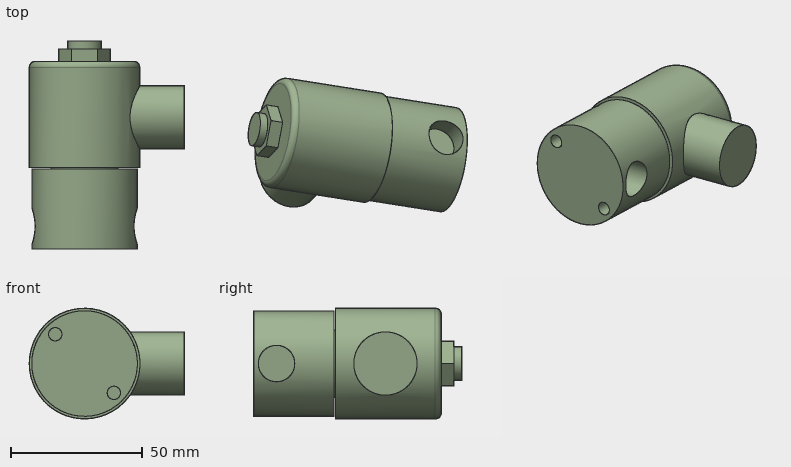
import cadquery as cq
import math

OVERALL_LENGTH = 78.9

BASE_DIAMETER = 40.0
BASE_LENGTH = 30.5
NECK_DIAMETER = 25.6
NECK_LENGTH = 0.5

PORT_DIAMETER = 13.8
PORT_CENTER_Y = 8.7
PORT_DEPTH = 9.5

MOUNT_HOLE_DIAMETER = 5.05
MOUNT_HOLE_DEPTH = 9.5
MOUNT_CIRCLE_RADIUS = 15.7
MOUNT_HOLE_ANGLES = (135, 315)

HOUSING_DIAMETER = 42.0
HOUSING_START_Y = BASE_LENGTH + NECK_LENGTH
HOUSING_LENGTH = 40.25
HOUSING_END_Y = HOUSING_START_Y + HOUSING_LENGTH
HOUSING_EDGE_RADIUS = 2.4

TUBE_DIAMETER = 24.0
TUBE_CENTER_Y = 50.0
TUBE_END_X = 37.8

NUT_ACROSS_FLATS = 17.0
NUT_ACROSS_CORNERS = NUT_ACROSS_FLATS / math.cos(math.radians(30))
NUT_HEIGHT = 4.7
STUD_DIAMETER = 12.8
STUD_START_Y = HOUSING_END_Y + NUT_HEIGHT
STUD_LENGTH = OVERALL_LENGTH - STUD_START_Y


def axial_plane(y):
    """Plane facing +Y at distance y along the main axis, with global Z as its local y."""
    return cq.Workplane(cq.Plane(origin=(0, y, 0), xDir=(-1, 0, 0), normal=(0, 1, 0)))


def axial_cylinder(diameter, start_y, length):
    return axial_plane(start_y).circle(diameter / 2).extrude(length)


def side_cylinder(diameter, center_y, start_x, end_x):
    """Cylinder along X whose axis crosses the main axis at center_y."""
    plane = cq.Workplane("YZ", origin=(start_x, 0, 0))
    return plane.center(center_y, 0).circle(diameter / 2).extrude(end_x - start_x)


def make_valve_base():
    base = axial_cylinder(BASE_DIAMETER, 0, BASE_LENGTH)
    base = base.union(axial_cylinder(NECK_DIAMETER, BASE_LENGTH, NECK_LENGTH))

    port_floor_x = BASE_DIAMETER / 2 - PORT_DEPTH
    for side in (-1, 1):
        port = side_cylinder(PORT_DIAMETER, PORT_CENTER_Y, side * port_floor_x, side * BASE_DIAMETER / 2)
        base = base.cut(port)

    for angle in MOUNT_HOLE_ANGLES:
        x = MOUNT_CIRCLE_RADIUS * math.cos(math.radians(angle))
        z = MOUNT_CIRCLE_RADIUS * math.sin(math.radians(angle))
        hole = axial_cylinder(MOUNT_HOLE_DIAMETER, 0, MOUNT_HOLE_DEPTH).translate((x, 0, z))
        base = base.cut(hole)
    return base


def make_coil_housing():
    housing = axial_cylinder(HOUSING_DIAMETER, HOUSING_START_Y, HOUSING_LENGTH)
    housing = housing.faces(">Y").edges().fillet(HOUSING_EDGE_RADIUS)
    tube = side_cylinder(TUBE_DIAMETER, TUBE_CENTER_Y, 0, TUBE_END_X)
    nut = axial_plane(HOUSING_END_Y).polygon(6, NUT_ACROSS_CORNERS).extrude(NUT_HEIGHT)
    stud = axial_cylinder(STUD_DIAMETER, STUD_START_Y, STUD_LENGTH)
    return housing.union(tube).union(nut).union(stud)


valve_base = make_valve_base()
coil_housing = make_coil_housing()

result = cq.Compound.makeCompound([valve_base.val(), coil_housing.val()])